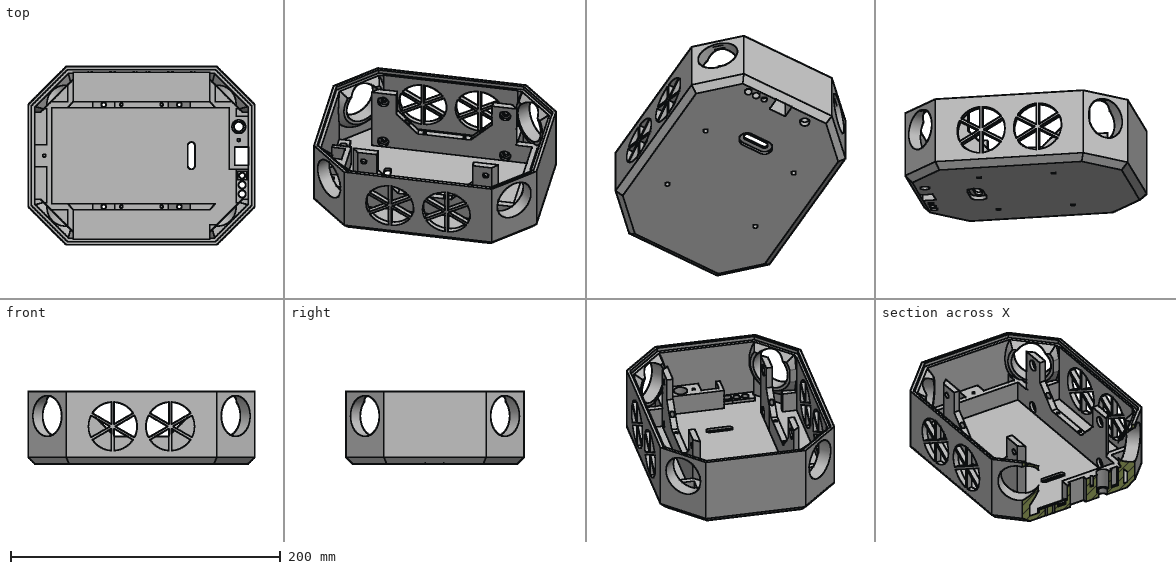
import cadquery as cq
import math

length = 168.0
width = 132.2
height = 54.0
corner_cut = 28.2
base_bevel = 5.0
wall = 4.9
floor_z = 5.0
lip_inset = 2.4
lip_depth = 2.9

vent_wall = 4.2
vent_panel_half = 50.5
vent_diameter = 36.0
vent_x = 21.3
vent_z = 27.9
vent_bar = 2.0
vent_bar_count = 3

port_diameter = 30.0
port_z = 35.6
port_depth = 10.5
boss_radius = 17.6
boss_top_z = 46.2

rail_inner = 35.5
rail_thick = 4.7
rail_outer = rail_inner + rail_thick
rail_z = 20.5
ramp_low_x = 20.0
ramp_high_x = 36.1
rib_thick = 4.2
frame_half = vent_panel_half + rib_thick
stub_y = -51.2
panel_outer_x = -70.4
panel_thick = 4.0
bridge_half = 8.0

rail_screw_x = 15.0
screw_diameter = 2.2
screw_depth = 8.4
ramp_hole_x = 28.0
ramp_hole_diameter = 3.4

post_hole_x = (-46.0, 46.0)
post_hole_z = (9.5, 46.2)
post_hole_diameter = 4.2
post_bore_diameter = 8.0
post_bore_depth = 2.5

block_x = 65.2
block_y = -10.0
pocket_x = 70.4
pocket_y = 29.2
pocket_half = 35.0
pad_z = 7.5
jack_x = 72.0
jack_y = 21.5
jack_diameter = 10.0
jack_exit_diameter = 7.0
block_screw_y = 11.6
window_x = 69.2
window_y = (-7.0, 6.4)
pad_hole_x = 74.6
pad_hole_y = (-14.8, -21.7, -28.4)
pad_hole_diameter = (4.2, 5.2, 5.2)
socket_length = 6.7
socket_width = 6.2
socket_z = 4.5

slot_x = 37.0
slot_length = 20.0
slot_width = 5.2
slot_relief_width = 12.0
slot_web = 2.0

inner_x = length / 2 - wall
inner_y = width / 2 - wall
ledge_z = height - lip_depth


def octagon(inset, bottom, top):
    """Prism of the cut-corner outline, offset inwards by inset."""
    cut = corner_cut - inset * (2 - math.sqrt(2))
    return (
        cq.Workplane("XY", origin=(0, 0, bottom))
        .rect(length - 2 * inset, width - 2 * inset)
        .extrude(top - bottom)
        .edges("|Z")
        .chamfer(cut)
    )


def block(x0, x1, y0, y1, z0, z1):
    return cq.Workplane("XY").box(x1 - x0, y1 - y0, z1 - z0, centered=False).translate((x0, y0, z0))


def drill(x, y, diameter, bottom, top):
    return cq.Workplane("XY", origin=(x, y, bottom)).circle(diameter / 2).extrude(top - bottom)


def mirrored_x(shape):
    return shape.union(shape.mirror("YZ"))


def mirrored_y(shape):
    return shape.union(shape.mirror("XZ"))


def make_cavity():
    cavity = octagon(wall, floor_z, height)
    vent_recess_y = width / 2 - vent_wall
    vent_recess = block(-vent_panel_half, vent_panel_half, -vent_recess_y, vent_recess_y, floor_z, ledge_z)
    return cavity.union(vent_recess)


def make_vent():
    """Round opening crossed by bars, cut through the -Y wall."""
    opening = cq.Workplane("XZ").circle(vent_diameter / 2).extrude(wall)
    for index in range(vent_bar_count):
        bar = cq.Workplane("XZ").rect(vent_bar, vent_diameter).extrude(wall)
        opening = opening.cut(bar.rotate((0, 0, 0), (0, 1, 0), index * 180 / vent_bar_count))
    return opening.translate((vent_x, wall - width / 2, vent_z))


def in_corner(shape):
    """Move a shape built along +X from the outer corner face to the +X +Y corner."""
    face_center = (length / 2 - corner_cut / 2, width / 2 - corner_cut / 2, port_z)
    return shape.rotate((0, 0, 0), (0, 0, 1), 45).translate(face_center)


def make_port_boss():
    outer_radius = boss_radius + port_depth
    cone = (
        cq.Workplane("XY")
        .polyline([(0, 0), (0, outer_radius), (-port_depth, boss_radius), (-port_depth, 0)])
        .close()
        .revolve(360, (0, 0, 0), (1, 0, 0))
    )
    ledge_top = ledge_z - port_z
    top_slope = (
        cq.Workplane("XZ")
        .polyline([
            (-port_depth, -outer_radius),
            (-port_depth, boss_top_z - port_z),
            (-wall, ledge_top),
            (0, ledge_top),
            (0, -outer_radius),
        ])
        .close()
        .extrude(outer_radius, both=True)
    )
    return in_corner(cone.intersect(top_slope))


def make_port_hole():
    overshoot = 1.7
    start = cq.Workplane("YZ", origin=(-port_depth - overshoot, 0, 0))
    return in_corner(start.circle(port_diameter / 2).extrude(port_depth + 2 * overshoot))


def make_rail():
    """Rail on the +Y side, rising by ramps into a post at each end."""
    post_foot_z = rail_z + ramp_high_x - ramp_low_x
    profile = (
        cq.Workplane("XZ", origin=(0, rail_outer, 0))
        .polyline([
            (-frame_half, 0),
            (-frame_half, height),
            (-ramp_high_x, height),
            (-ramp_high_x, post_foot_z),
            (-ramp_low_x, rail_z),
            (ramp_low_x, rail_z),
            (ramp_high_x, post_foot_z),
            (ramp_high_x, height),
            (frame_half, height),
            (frame_half, 0),
        ])
        .close()
        .extrude(rail_thick)
    )
    bevelled_plan = (
        cq.Workplane("XY")
        .polyline([
            (-frame_half, rail_inner),
            (-vent_panel_half, rail_outer),
            (vent_panel_half, rail_outer),
            (frame_half, rail_inner),
        ])
        .close()
        .extrude(height)
    )
    return profile.intersect(bevelled_plan)


def make_corner_ribs():
    """Two ribs from the +X +Y post to the walls."""
    along_x = block(vent_panel_half, inner_x, rail_inner, rail_outer, 0, rail_z)
    along_y = block(vent_panel_half, frame_half, rail_inner, inner_y, 0, rail_z)
    return along_x.union(along_y)


def make_frame():
    ribs = make_corner_ribs()
    frame = mirrored_y(make_rail())
    frame = frame.union(ribs).union(mirrored_y(ribs.mirror("YZ")))
    frame = frame.union(block(vent_panel_half, frame_half, -inner_y, stub_y, 0, rail_z))
    end_panel = block(-inner_x, panel_outer_x + panel_thick, -rail_inner, rail_inner, 0, rail_z)
    end_pocket = block(-inner_x, panel_outer_x, bridge_half, pocket_half, floor_z, rail_z)
    frame = frame.union(end_panel.cut(mirrored_y(end_pocket)))
    connector = block(block_x, inner_x, block_y, rail_inner, 0, rail_z)
    connector = connector.cut(block(pocket_x, inner_x, pocket_y, pocket_half, floor_z, rail_z))
    return frame.union(connector)


def make_pad():
    """Raised pad on the floor with a square socket over its first hole."""
    pad = block(pocket_x, inner_x, -pocket_half, block_y, 0, pad_z)
    socket = (
        cq.Workplane("XY", origin=(pad_hole_x, pad_hole_y[0], socket_z))
        .rect(socket_length, socket_width)
        .extrude(pad_z - socket_z)
    )
    return pad, socket


def make_rail_holes():
    screw_bottom = rail_z - screw_depth
    screws = mirrored_x(drill(rail_screw_x, 0, screw_diameter, screw_bottom, rail_z))
    ramp_holes = mirrored_x(drill(ramp_hole_x, 0, ramp_hole_diameter, 0, height))
    rail_middle = rail_inner + rail_thick / 2
    return mirrored_y(screws.union(ramp_holes).translate((0, rail_middle, 0)))


def make_post_holes():
    """Counterbored holes through the posts, wide end towards the middle of the box."""
    centers = [(x, z) for x in post_hole_x for z in post_hole_z]
    plane = cq.Workplane("XZ", origin=(0, rail_inner, 0)).pushPoints(centers)
    holes = plane.circle(post_hole_diameter / 2).extrude(-rail_thick)
    bores = plane.circle(post_bore_diameter / 2).extrude(-post_bore_depth)
    return mirrored_y(holes.union(bores))


def make_end_holes():
    screw_bottom = rail_z - screw_depth
    holes = drill(jack_x, jack_y, jack_diameter, floor_z, rail_z)
    holes = holes.union(drill(jack_x, jack_y, jack_exit_diameter, 0, floor_z))
    for x, y in ((jack_x, block_screw_y), (-jack_x, 0)):
        holes = holes.union(drill(x, y, screw_diameter, screw_bottom, rail_z))
    for y, diameter in zip(pad_hole_y, pad_hole_diameter):
        holes = holes.union(drill(pad_hole_x, y, diameter, 0, pad_z))
    return holes.union(block(window_x, inner_x, *window_y, 0, rail_z))


def make_slot():
    """Cable slot with a wider relief on the underside."""
    relief_length = slot_length + slot_relief_width - slot_width
    base = cq.Workplane("XY", origin=(slot_x, 0, 0))
    slot = base.slot2D(slot_length, slot_width, 90).extrude(floor_z)
    relief = base.slot2D(relief_length, slot_relief_width, 90).extrude(floor_z - slot_web)
    return slot.union(relief)


outer = octagon(0, 0, height).faces("<Z").edges().chamfer(base_bevel)
shell = outer.cut(make_cavity()).cut(octagon(lip_inset, ledge_z, height))

vent_span = block(-vent_panel_half, vent_panel_half, -width / 2, width / 2, 0, height)
bosses = mirrored_y(mirrored_x(make_port_boss()))
bosses = bosses.intersect(octagon(wall / 2, 0, ledge_z)).cut(vent_span)

pad, socket = make_pad()
inserts = make_frame().union(pad).intersect(outer)

result = shell.union(bosses).union(inserts).cut(socket)
result = result.cut(mirrored_y(mirrored_x(make_vent())))
result = result.cut(mirrored_y(mirrored_x(make_port_hole())))
result = result.cut(make_rail_holes()).cut(make_post_holes())
result = result.cut(make_end_holes()).cut(make_slot())